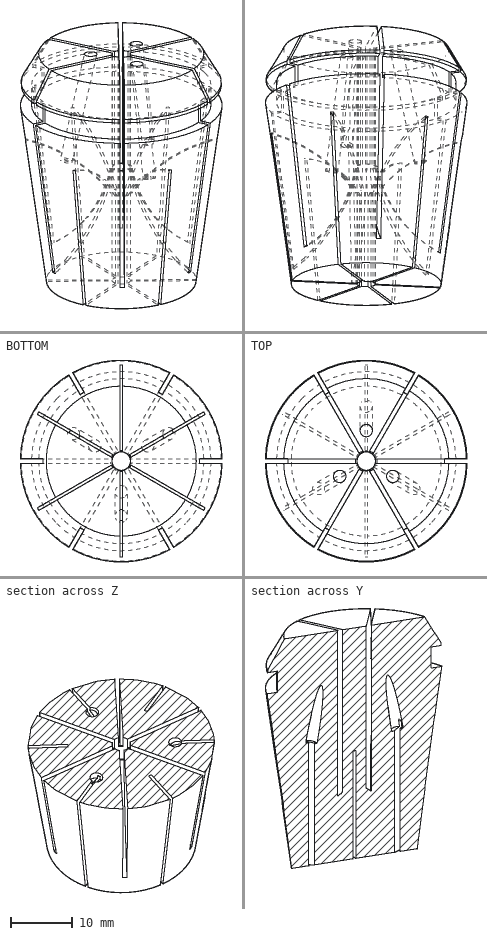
import cadquery as cq
import math

height = 40.0
max_diameter = 33.0
tail_diameter = 24.5
bore_diameter = 3.0

nose_face_diameter = 27.0
nose_rim_diameter = 32.7
groove_diameter = 29.3
groove_bottom_z = 30.95
groove_top_z = 34.5
nose_rim_top_z = 35.1

slot_pairs = 6
saw_radius = 25.0
ledge_radius = 1.7
nose_slot_width = 0.7
nose_slot_inner_z = 20.0
nose_slot_outer_z = 4.0
tail_slot_width = 0.5
tail_slot_inner_z = 15.5
tail_slot_outer_z = 25.0

coolant_holes = 3
coolant_diameter = 2.0
coolant_position_radius = 5.0
coolant_tilt = 12.0
coolant_length = 19.2

max_radius = max_diameter / 2
tail_radius = tail_diameter / 2
clearance = 2.0


def taper_radius(z):
    """Radius of the long outer taper at height z."""
    return tail_radius + (max_radius - tail_radius) * z / groove_bottom_z


def make_body():
    """Revolve the collet outline, from the bore wall out to the outer taper and nose."""
    outline = [
        (bore_diameter / 2, 0),
        (tail_radius, 0),
        (max_radius, groove_bottom_z),
        (groove_diameter / 2, groove_bottom_z),
        (groove_diameter / 2, groove_top_z),
        (nose_rim_diameter / 2, groove_top_z),
        (nose_rim_diameter / 2, nose_rim_top_z),
        (nose_face_diameter / 2, height),
        (bore_diameter / 2, height),
    ]
    return cq.Workplane("XZ").polyline(outline).close().revolve(360, (0, 0, 0), (0, 1, 0))


def make_slot(width, inner_z, outer_z, open_z):
    """One radial slot along +X, open at open_z, whose floor is the arc left by a saw blade."""
    far_radius = max_radius + clearance
    run_out_radius = taper_radius(outer_z)
    signed_radius = math.copysign(saw_radius, open_z - inner_z)
    return (
        cq.Workplane("XZ")
        .moveTo(0, inner_z)
        .lineTo(ledge_radius, inner_z)
        .radiusArc((run_out_radius, outer_z), -signed_radius)
        .lineTo(far_radius, outer_z)
        .lineTo(far_radius, open_z)
        .lineTo(0, open_z)
        .close()
        .extrude(width / 2, both=True)
    )


def make_coolant_hole():
    """One round hole sunk from the nose face along +X, leaning outwards as it goes down."""
    tilt = math.radians(coolant_tilt)
    axis = cq.Vector(math.sin(tilt), 0, -math.cos(tilt))
    start = cq.Vector(coolant_position_radius, 0, height) - axis * clearance
    hole = cq.Solid.makeCylinder(coolant_diameter / 2, coolant_length + clearance, start, axis)
    return cq.Workplane(obj=hole)


def cut_around(body, tool, count, first_angle):
    """Cut count evenly spaced copies of the tool around the Z axis."""
    for index in range(count):
        angle = first_angle + index * 360 / count
        body = body.cut(tool.rotate((0, 0, 0), (0, 0, 1), angle))
    return body


slot_pitch = 360 / slot_pairs
nose_slot = make_slot(nose_slot_width, nose_slot_inner_z, nose_slot_outer_z, height + clearance)
tail_slot = make_slot(tail_slot_width, tail_slot_inner_z, tail_slot_outer_z, -clearance)

result = make_body()
result = cut_around(result, nose_slot, slot_pairs, 0)
result = cut_around(result, tail_slot, slot_pairs, slot_pitch / 2)
result = cut_around(result, make_coolant_hole(), coolant_holes, 1.5 * slot_pitch)